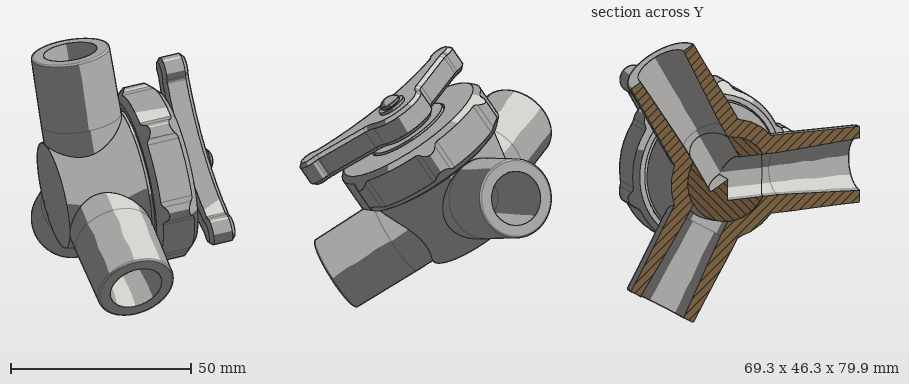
import cadquery as cq
import math


CORNER_REACH = 0.01

TUBE_ANGLES = (0, 120, 240)
TUBE_REACH = 40.0
TUBE_TAPER_START = 20.0
TUBE_DIAMETER = 22.5
TUBE_TIP_DIAMETER = 22.0
TUBE_TIP_FILLET = 0.5
BORE_MOUTH_DIAMETER = 15.0
PORT_DIAMETER = 12.0
PLUG_PORT_ANGLES = TUBE_ANGLES[:2]

CORE_BOTTOM = -TUBE_DIAMETER / 2
CORE_TOP = TUBE_DIAMETER / 2
CORE_BOTTOM_DIAMETER = 30.0
CORE_TOP_DIAMETER = 39.2
NECK_DIAMETER = 36.85
NECK_TOP = 20.0
FLOOR_THICKNESS = 1.65

PLUG_BOTTOM = CORE_BOTTOM + FLOOR_THICKNESS
PLUG_BOTTOM_DIAMETER = 21.6
PLUG_TOP_DIAMETER = 30.0
STEM_DIAMETER = 23.0

NUT_BOTTOM = 11.95
NUT_HEIGHT = 12.05
NUT_TOP = NUT_BOTTOM + NUT_HEIGHT
NUT_DIAMETER = 46.0
NUT_END_DIAMETER = 43.0
NUT_HOLE_DIAMETER = 24.0
NUT_MOUTH_DIAMETER = 40.0
NUT_MOUTH_DEPTH = 1.0
GRIP_COUNT = 6
GRIP_START_ANGLE = 17.5
GRIP_ANGLES = [GRIP_START_ANGLE + 360 / GRIP_COUNT * index for index in range(GRIP_COUNT)]
GRIP_RADIUS = 3.0
GRIP_CENTRE_RADIUS = 21.65
GRIP_FILLET = 2.0

HANDLE_GAP = 0.5
HANDLE_BOTTOM = NUT_TOP + HANDLE_GAP
HANDLE_THICKNESS = 7.5
HANDLE_TOP = HANDLE_BOTTOM + HANDLE_THICKNESS
HANDLE_ANGLES = (3.6, 123.6)
HUB_RADIUS = 8.8
TIP_RADIUS = 3.8
TIP_DISTANCE = 27.7
NECK_HALF_WIDTH = 3.0
NECK_ROOT_HALF_WIDTH = 5.2
INNER_ARC_CLEARANCE = 9.9
TIP_FILLET = 2.0
HUB_FILLET = 4.5
HANDLE_CHAMFER = 1.05

WASHER_DIAMETER = 8.0
WASHER_HOLE_DIAMETER = 3.2
WASHER_THICKNESS = 0.8
WASHER_TOP = HANDLE_TOP + WASHER_THICKNESS
SCREW_HEAD_DIAMETER = 6.0
SCREW_SHANK_DIAMETER = 3.0
SCREW_RIM_HEIGHT = 1.15
SCREW_RIM_CHAMFER = 0.25
SCREW_TOP = 35.04
SCREW_LENGTH_IN_PLUG = 10.0
SCREW_BOTTOM = HANDLE_BOTTOM - SCREW_LENGTH_IN_PLUG


def revolve_about_y(outline):
    return outline.close().revolve(360, (0, 0, 0), (0, 1, 0))


def cylinder_along_y(diameter, bottom, top):
    return cq.Workplane("XZ", origin=(0, bottom, 0)).circle(diameter / 2).extrude(bottom - top)


def turn(shape, angle):
    """Turns a shape about the stem so that +X swings toward +Z."""
    return shape.rotate((0, 0, 0), (0, 1, 0), -angle)


def at_angle(along, across, angle):
    """X and Z of a point given along and across a direction in the XZ plane."""
    cosine = math.cos(math.radians(angle))
    sine = math.sin(math.radians(angle))
    return (along * cosine - across * sine, along * sine + across * cosine)


def edges_along_y(shape, nearest, farthest):
    """Selects the edges along Y whose distance from the stem lies between two limits."""
    def in_range(edge):
        return nearest < math.hypot(edge.Center().x, edge.Center().z) < farthest

    return shape.edges("|Y").filter(in_range)


def make_tube():
    outline = (
        cq.Workplane("XY")
        .lineTo(0, TUBE_DIAMETER / 2)
        .lineTo(TUBE_TAPER_START, TUBE_DIAMETER / 2)
        .lineTo(TUBE_REACH, TUBE_TIP_DIAMETER / 2)
        .lineTo(TUBE_REACH, 0)
        .close()
    )
    return outline.revolve(360, (0, 0, 0), (1, 0, 0)).faces(">X").edges().fillet(TUBE_TIP_FILLET)


def make_tube_bore():
    outline = (
        cq.Workplane("XY")
        .lineTo(0, PORT_DIAMETER / 2)
        .lineTo(PLUG_TOP_DIAMETER / 2, PORT_DIAMETER / 2)
        .lineTo(TUBE_REACH, BORE_MOUTH_DIAMETER / 2)
        .lineTo(TUBE_REACH, 0)
        .close()
    )
    return outline.revolve(360, (0, 0, 0), (1, 0, 0))


def make_plug_blank():
    outline = (
        cq.Workplane("XY")
        .moveTo(0, PLUG_BOTTOM)
        .lineTo(PLUG_BOTTOM_DIAMETER / 2, PLUG_BOTTOM)
        .lineTo(PLUG_TOP_DIAMETER / 2, NECK_TOP)
        .lineTo(0, NECK_TOP)
    )
    return revolve_about_y(outline)


def make_body():
    outline = (
        cq.Workplane("XY")
        .moveTo(0, CORE_BOTTOM)
        .lineTo(CORE_BOTTOM_DIAMETER / 2, CORE_BOTTOM)
        .lineTo(CORE_TOP_DIAMETER / 2, CORE_TOP)
        .lineTo(NECK_DIAMETER / 2, CORE_TOP)
        .lineTo(NECK_DIAMETER / 2, NECK_TOP)
        .lineTo(0, NECK_TOP)
    )
    body = revolve_about_y(outline)
    for angle in TUBE_ANGLES:
        body = body.union(turn(make_tube(), angle))
    for angle in TUBE_ANGLES:
        body = body.cut(turn(make_tube_bore(), angle))
    return body.cut(make_plug_blank())


def make_plug():
    plug = make_plug_blank().union(cylinder_along_y(STEM_DIAMETER, NECK_TOP, HANDLE_BOTTOM))
    port = cq.Workplane("YZ").circle(PORT_DIAMETER / 2).extrude(TUBE_REACH)
    for angle in PLUG_PORT_ANGLES:
        plug = plug.cut(turn(port, angle))
    return plug.cut(cylinder_along_y(SCREW_SHANK_DIAMETER, SCREW_BOTTOM, HANDLE_BOTTOM))


def make_nut():
    blank = cylinder_along_y(NUT_DIAMETER, NUT_BOTTOM, NUT_TOP)
    for angle in GRIP_ANGLES:
        grip = (
            cq.Workplane("XZ", origin=(0, NUT_BOTTOM, 0))
            .center(*at_angle(GRIP_CENTRE_RADIUS, 0, angle))
            .circle(GRIP_RADIUS)
            .extrude(-NUT_HEIGHT)
        )
        blank = blank.union(grip)
    rim_radius = NUT_DIAMETER / 2
    corners = edges_along_y(blank, rim_radius - CORNER_REACH, rim_radius + CORNER_REACH)
    blank = corners.fillet(GRIP_FILLET)

    end_radius = NUT_END_DIAMETER / 2
    cone_height = NUT_HEIGHT / 2
    outline = (
        cq.Workplane("XY")
        .moveTo(0, NUT_BOTTOM)
        .lineTo(end_radius, NUT_BOTTOM)
        .lineTo(end_radius + cone_height, NUT_BOTTOM + cone_height)
        .lineTo(end_radius, NUT_TOP)
        .lineTo(0, NUT_TOP)
    )
    nut = blank.intersect(revolve_about_y(outline))
    nut = nut.cut(cylinder_along_y(NUT_MOUTH_DIAMETER, NUT_BOTTOM, NUT_BOTTOM + NUT_MOUTH_DEPTH))
    nut = nut.cut(cylinder_along_y(NECK_DIAMETER, NUT_BOTTOM, NECK_TOP))
    return nut.cut(cylinder_along_y(NUT_HOLE_DIAMETER, NECK_TOP, NUT_TOP))


def make_handle():
    first, second = HANDLE_ANGLES
    bisector = (first + second) / 2
    flat = cq.Workplane("XZ", origin=(0, HANDLE_BOTTOM, 0))
    webs = (
        flat.moveTo(*at_angle(0, -NECK_ROOT_HALF_WIDTH, first))
        .lineTo(*at_angle(TIP_DISTANCE, -NECK_HALF_WIDTH, first))
        .lineTo(*at_angle(TIP_DISTANCE, NECK_HALF_WIDTH, first))
        .threePointArc(
            at_angle(INNER_ARC_CLEARANCE, 0, bisector),
            at_angle(TIP_DISTANCE, -NECK_HALF_WIDTH, second),
        )
        .lineTo(*at_angle(TIP_DISTANCE, NECK_HALF_WIDTH, second))
        .lineTo(*at_angle(0, NECK_ROOT_HALF_WIDTH, second))
        .close()
        .extrude(-HANDLE_THICKNESS)
    )
    handle = webs.union(cylinder_along_y(2 * HUB_RADIUS, HANDLE_BOTTOM, HANDLE_TOP))
    for angle in HANDLE_ANGLES:
        tip = flat.center(*at_angle(TIP_DISTANCE, 0, angle)).circle(TIP_RADIUS).extrude(-HANDLE_THICKNESS)
        handle = handle.union(tip)
    hub_corners = edges_along_y(handle, HUB_RADIUS - CORNER_REACH, HUB_RADIUS + CORNER_REACH)
    handle = hub_corners.fillet(HUB_FILLET)
    tip_corners = edges_along_y(handle, TIP_DISTANCE - TIP_RADIUS, TIP_DISTANCE)
    handle = tip_corners.fillet(TIP_FILLET)
    handle = handle.faces("<Y or >Y").edges().chamfer(HANDLE_CHAMFER)
    return handle.cut(cylinder_along_y(WASHER_HOLE_DIAMETER, HANDLE_BOTTOM, HANDLE_TOP))


def make_washer():
    disc = cylinder_along_y(WASHER_DIAMETER, HANDLE_TOP, WASHER_TOP)
    return disc.cut(cylinder_along_y(WASHER_HOLE_DIAMETER, HANDLE_TOP, WASHER_TOP))


def make_screw():
    head_radius = SCREW_HEAD_DIAMETER / 2
    rim_top = WASHER_TOP + SCREW_RIM_HEIGHT
    edge_radius = head_radius - SCREW_RIM_CHAMFER
    dome_height = SCREW_TOP - rim_top
    dome_radius = (edge_radius**2 + dome_height**2) / (2 * dome_height)
    half_sweep = math.asin(edge_radius / dome_radius) / 2
    dome_mid = (
        dome_radius * math.sin(half_sweep),
        SCREW_TOP - dome_radius * (1 - math.cos(half_sweep)),
    )
    outline = (
        cq.Workplane("XY")
        .moveTo(0, SCREW_BOTTOM)
        .lineTo(SCREW_SHANK_DIAMETER / 2, SCREW_BOTTOM)
        .lineTo(SCREW_SHANK_DIAMETER / 2, WASHER_TOP)
        .lineTo(edge_radius, WASHER_TOP)
        .lineTo(head_radius, WASHER_TOP + SCREW_RIM_CHAMFER)
        .lineTo(head_radius, rim_top - SCREW_RIM_CHAMFER)
        .lineTo(edge_radius, rim_top)
        .threePointArc(dome_mid, (0, SCREW_TOP))
    )
    return revolve_about_y(outline)


body = make_body()
plug = make_plug()
nut = make_nut()
handle = make_handle()
washer = make_washer()
screw = make_screw()

result = cq.Compound.makeCompound(
    [body.val(), plug.val(), nut.val(), handle.val(), washer.val(), screw.val()]
)